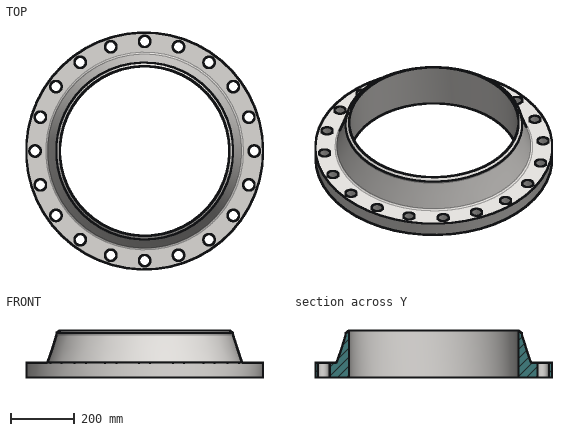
import cadquery as cq

flange_diameter = 749.0
flange_thickness = 47.0
total_height = 149.0
bore_diameter = 534.0

bolt_count = 20
bolt_circle_diameter = 692.0
bolt_hole_diameter = 35.0

hub_base_diameter = 616.0
neck_diameter = 559.0
neck_straight_length = 7.0
weld_bevel_height = 8.0
weld_land_width = 1.5
hub_fillet_radius = 6.0


def make_body():
    """Revolve the cross-section of the flange, hub and neck about Z."""
    bore_radius = bore_diameter / 2
    flange_radius = flange_diameter / 2
    neck_radius = neck_diameter / 2
    bevel_bottom = total_height - weld_bevel_height
    neck_bottom = bevel_bottom - neck_straight_length
    return (
        cq.Workplane("XZ")
        .moveTo(bore_radius, 0)
        .lineTo(flange_radius, 0)
        .lineTo(flange_radius, flange_thickness)
        .lineTo(hub_base_diameter / 2, flange_thickness)
        .lineTo(neck_radius, neck_bottom)
        .lineTo(neck_radius, bevel_bottom)
        .lineTo(bore_radius + weld_land_width, total_height)
        .lineTo(bore_radius, total_height)
        .close()
        .revolve(360, (0, 0, 0), (0, 1, 0))
    )


def round_hub_foot(body):
    """Fillet the inside corner where the hub meets the flange face."""
    flange_face = body.faces("|Z").faces(">Z[1]")
    hub_foot = flange_face.edges(cq.selectors.RadiusNthSelector(0))
    return hub_foot.fillet(hub_fillet_radius)


def make_bolt_holes():
    """Cylinders through the flange, evenly spaced on the bolt circle from +X."""
    return (
        cq.Workplane("XY")
        .polarArray(bolt_circle_diameter / 2, 0, 360, bolt_count)
        .circle(bolt_hole_diameter / 2)
        .extrude(flange_thickness)
    )


result = round_hub_foot(make_body()).cut(make_bolt_holes())